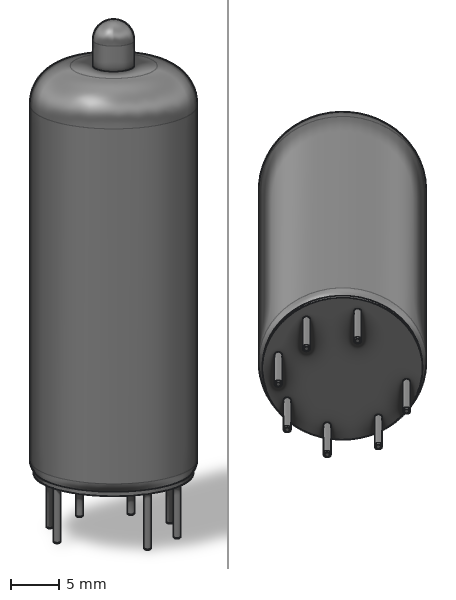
import cadquery as cq

envelope_diameter = 17.44
envelope_height = 44.2
shoulder_radius = 4.2
heel_radius = 1.5

base_diameter = 16.64
base_thickness = heel_radius

overall_height = 55.66
tip_diameter = 4.36
tip_flat_diameter = 0.02

pin_diameter = 0.8
pin_length = 6.5
pin_chamfer = 0.15

grid_pitch = 2.54
near_offset = grid_pitch
far_offset = 2.5 * grid_pitch
empty_place = (near_offset, -far_offset)


def make_envelope():
    """Closed cylinder with a large rounded shoulder and a smaller rounded heel."""
    envelope = cq.Workplane("XY").circle(envelope_diameter / 2).extrude(envelope_height)
    envelope = envelope.faces(">Z").edges().fillet(shoulder_radius)
    return envelope.faces("<Z").edges().fillet(heel_radius)


def make_base():
    """Disc whose rim stands out below the rounded heel as a narrow lip."""
    return cq.Workplane("XY").circle(base_diameter / 2).extrude(base_thickness)


def make_tip():
    """Short stem with a nearly hemispherical end, standing on the envelope."""
    tip_height = overall_height - pin_length - envelope_height
    tip = cq.Workplane("XY").workplane(offset=envelope_height).circle(tip_diameter / 2).extrude(tip_height)
    return tip.faces(">Z").edges().fillet((tip_diameter - tip_flat_diameter) / 2)


def pin_places():
    """Places of the pins around the ring, without the empty key place."""
    places = []
    for x_sign in (-1, 1):
        for y_sign in (-1, 1):
            places.append((x_sign * near_offset, y_sign * far_offset))
            places.append((x_sign * far_offset, y_sign * near_offset))
    places.remove(empty_place)
    return places


def make_pins():
    """Round pins hanging from the underside, each with a chamfered end."""
    pins = cq.Workplane("XY").workplane(offset=base_thickness).pushPoints(pin_places())
    pins = pins.circle(pin_diameter / 2).extrude(-(pin_length + base_thickness))
    return pins.faces("<Z").edges().chamfer(pin_chamfer)


result = make_envelope().union(make_base()).union(make_tip()).union(make_pins())